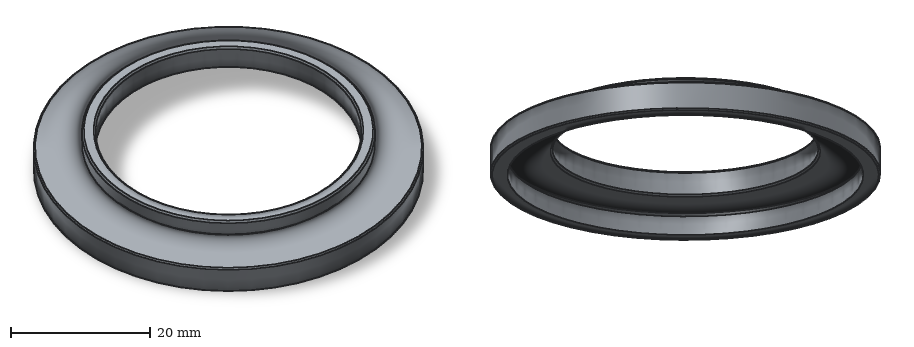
import cadquery as cq

flange_diameter = 55.9
flange_height = 4.3

total_height = 7.4
lip_diameter = 42.0
lip_height = 2.3
neck_diameter = 40.4

bore_diameter = 38.1

recess_diameter = 51.0
recess_depth = 3.6
groove_diameter = 52.7

flange_chamfer = 0.2
collar_chamfer = 0.3

lip_bottom = total_height - lip_height
groove_width = lip_bottom - flange_height


def disc(diameter, bottom, top):
    """Solid disc about Z between two heights."""
    return cq.Workplane("XY").workplane(offset=bottom).circle(diameter / 2).extrude(top - bottom)


flange = disc(flange_diameter, 0, flange_height).edges().chamfer(flange_chamfer)
neck = disc(neck_diameter, 0, lip_bottom)
lip = disc(lip_diameter, lip_bottom, total_height).faces(">Z").edges().chamfer(collar_chamfer)
body = flange.union(neck).union(lip)

recess = disc(recess_diameter, 0, recess_depth)
groove = disc(groove_diameter, recess_depth - groove_width, recess_depth)

bore = disc(bore_diameter, 0, total_height)
ring = body.cut(recess).cut(groove).cut(bore)
bore_edges = ring.edges("%CIRCLE").edges(cq.selectors.RadiusNthSelector(0))
result = bore_edges.chamfer(collar_chamfer)